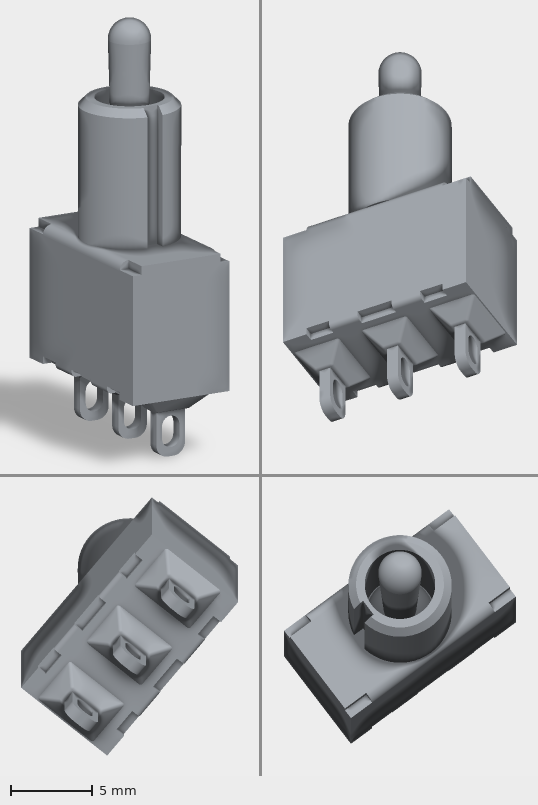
import cadquery as cq


switch_length = 12.7
switch_width = 6.85
switch_height = 8.87
plate_thickness = 0.55
strap_length = 9.45
strap_thickness = 0.62
strap_end_height = 0.48
plate_width = switch_width - 2 * strap_thickness
block_height = switch_height - plate_thickness

tongue_width = 1.98
tongue_offset = 2.17
tongue_rounding = 0.32

bushing_diameter = 6.38
bore_diameter = 4.35
bushing_length = 8.9
bushing_chamfer = 0.48
keyway_width = 1.07
keyway_floor_x = 2.45

ball_clearance = 0.08
ball_radius = bore_diameter / 2 - ball_clearance
tip_radius = 1.35
stem_end_radius = 1.23
stem_end_z = switch_height + bushing_length
lever_top = 22.82
tip_center_z = lever_top - tip_radius

terminal_pitch = 4.7
terminal_count = 3
terminal_thickness = 0.75
terminal_width = 2.05
terminal_drop = 4.0
terminal_corner = 0.8
slot_width = 1.23
slot_length = 2.0
slot_center_z = -2.4
boss_length = 3.15
boss_width = 4.4
boss_height = 1.05
boss_rounding = 0.25
boss_taper = 43


def box_on(length, width, height, bottom):
    """A box centred on the Z axis that stands on the height 'bottom'."""
    return cq.Workplane("XY").workplane(offset=bottom).rect(length, width).extrude(height)


def bushing():
    """Round sleeve with a chamfered rim and a keyway on its +X side."""
    sleeve = (
        cq.Workplane("XY").workplane(offset=switch_height)
        .circle(bushing_diameter / 2).extrude(bushing_length)
        .faces(">Z").chamfer(bushing_chamfer)
    )
    keyway_depth = bushing_diameter / 2 - keyway_floor_x
    keyway = box_on(2 * keyway_depth, keyway_width, bushing_length, switch_height)
    return sleeve.cut(keyway.translate((keyway_floor_x + keyway_depth, 0, 0)))


def strapped_plate():
    """Top plate with a strap folded down over each long side of the block."""
    wrap = box_on(strap_length, switch_width, switch_height - strap_end_height, strap_end_height)
    wrap = wrap.faces(">Z").edges("|X").fillet(strap_thickness)
    for x in (-tongue_offset, tongue_offset):
        tongue = box_on(tongue_width, switch_width, strap_end_height, 0)
        tongue = tongue.faces("<Z").edges("|X").fillet(tongue_rounding)
        wrap = wrap.union(tongue.translate((x, 0, 0)))
    plate = box_on(switch_length, plate_width, plate_thickness, block_height)
    return wrap.cut(box_on(strap_length, plate_width, block_height, 0)).union(plate)


def make_frame():
    """Plate, straps and bushing, with the bore running through bushing and plate."""
    bore = (
        cq.Workplane("XY").workplane(offset=block_height)
        .circle(bore_diameter / 2).extrude(plate_thickness + bushing_length)
    )
    return strapped_plate().union(bushing()).cut(bore)


def block():
    """Block whose long sides are recessed for the straps."""
    core = box_on(switch_length, plate_width, block_height, 0)
    end_length = (switch_length - strap_length) / 2
    for side in (-1, 1):
        end = box_on(end_length, switch_width, block_height, 0)
        core = core.union(end.translate((side * (switch_length - end_length) / 2, 0, 0)))
    return core


def lever():
    """Half ball on the block, a stem that widens upward and a round tip."""
    widening = (tip_radius - stem_end_radius) / (tip_center_z - stem_end_z)
    stem_foot_z = block_height + ball_radius / 2
    stem_foot_radius = tip_radius - widening * (tip_center_z - stem_foot_z)
    ball = (
        cq.Workplane("XZ").moveTo(0, block_height).lineTo(ball_radius, block_height)
        .radiusArc((0, block_height + ball_radius), -ball_radius)
        .close().revolve(360, (0, 0, 0), (0, 1, 0))
    )
    stem = (
        cq.Workplane("XZ").moveTo(0, stem_foot_z).lineTo(stem_foot_radius, stem_foot_z)
        .lineTo(tip_radius, tip_center_z)
        .radiusArc((0, lever_top), -tip_radius)
        .close().revolve(360, (0, 0, 0), (0, 1, 0))
    )
    return ball.union(stem)


def terminal():
    """Slotted solder lug below a tapered boss."""
    boss = cq.Workplane("XY").rect(boss_length, boss_width).extrude(-boss_height, taper=boss_taper)
    boss = boss.edges("not >Z").fillet(boss_rounding)
    lug = box_on(terminal_thickness, terminal_width, terminal_drop, -terminal_drop)
    lug = lug.faces("<Z").edges("|X").fillet(terminal_corner)
    slot = (
        cq.Workplane("YZ").center(0, slot_center_z)
        .slot2D(slot_length, slot_width, 90).extrude(terminal_thickness, both=True)
    )
    return boss.union(lug.cut(slot))


def make_base():
    """Block carrying the lever on top and the row of terminals below."""
    body = block().union(lever())
    for i in range(terminal_count):
        x = (i - (terminal_count - 1) / 2) * terminal_pitch
        body = body.union(terminal().translate((x, 0, 0)))
    return body


frame = make_frame()
base = make_base()
result = cq.Compound.makeCompound([frame.solids().val(), base.solids().val()])